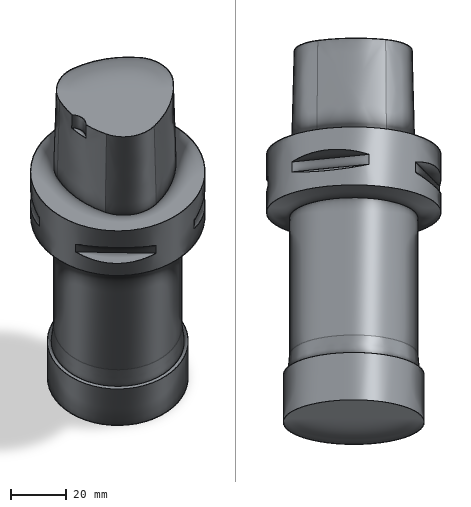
import cadquery as cq
import math

total_height = 139.6
collar_height = 18.0
cone_top = 25.4
neck_top = 77.6
flange_bottom = 79.7
flange_top = 101.8

collar_diameter = 50.8
cone_base_diameter = 48.0
neck_diameter = 46.3
flange_diameter = 63.0

lobe_count = 3
lobe_reach = 23.5
flank_reach = 20.4
lobe_center_distance = 8.8
shank_inset = 0.95

groove_count = 4
groove_first_angle = 45.0
groove_center_height = 89.6
groove_floor_distance = 27.9
groove_floor_height = 3.8
groove_wall_angle = 30.0
cutter_overrun = 1.4

notch_radius = 5.0
notch_depth = 6.4
notch_inner_distance = 17.7


def polar_point(distance, angle):
    """Point at a distance from the axis, at an angle in degrees."""
    radians = math.radians(angle)
    return (distance * math.cos(radians), distance * math.sin(radians))


def shank_outline(height, inset):
    """Closed outline of tangent lobe and flank arcs, shrunk evenly by the inset."""
    lobe_radius = lobe_reach - lobe_center_distance
    half_step = 180.0 / lobe_count
    along = lobe_center_distance * math.cos(math.radians(half_step))
    across = lobe_center_distance * math.sin(math.radians(half_step))

    gap = flank_reach - lobe_radius
    flank_center = (across**2 + along**2 - gap**2) / (2 * (gap - along))
    tangent_turn = math.atan2(across, flank_center + along)
    flank_radius = flank_center + flank_reach - inset
    tangent_x = flank_radius * math.cos(tangent_turn) - flank_center
    tangent_y = flank_radius * math.sin(tangent_turn)
    tangent_distance = math.hypot(tangent_x, tangent_y)
    tangent_angle = math.degrees(math.atan2(tangent_y, tangent_x))

    first_flank = -90.0
    start = polar_point(tangent_distance, first_flank - tangent_angle)
    outline = cq.Workplane("XY", origin=(0, 0, height)).moveTo(*start)
    for index in range(lobe_count):
        flank_angle = first_flank + index * 2 * half_step
        lobe_angle = flank_angle + half_step
        next_flank = lobe_angle + half_step
        outline = outline.threePointArc(
            polar_point(flank_reach - inset, flank_angle),
            polar_point(tangent_distance, flank_angle + tangent_angle),
        )
        outline = outline.threePointArc(
            polar_point(lobe_reach - inset, lobe_angle),
            polar_point(tangent_distance, next_flank - tangent_angle),
        )
    return outline.close().wire().val()


def make_shank():
    base = shank_outline(flange_top, 0)
    top = shank_outline(total_height, shank_inset)
    return cq.Workplane(cq.Solid.makeLoft([base, top], True))


def make_round_stem():
    """Seat cone, neck and flange, turned about the axis."""
    return (
        cq.Workplane("XZ")
        .moveTo(0, collar_height)
        .lineTo(cone_base_diameter / 2, collar_height)
        .lineTo(neck_diameter / 2, cone_top)
        .lineTo(neck_diameter / 2, neck_top)
        .lineTo(flange_diameter / 2, flange_bottom)
        .lineTo(flange_diameter / 2, flange_top)
        .lineTo(0, flange_top)
        .close()
        .revolve(360, (0, 0), (0, 1))
    )


def make_groove_cutter(angle):
    """Flat-floored groove that widens outward and runs straight across the flange."""
    outer_distance = flange_diameter / 2 + cutter_overrun
    floor_half = groove_floor_height / 2
    flare = (outer_distance - groove_floor_distance) * math.tan(math.radians(groove_wall_angle))
    mouth_half = floor_half + flare
    return (
        cq.Workplane("XZ", origin=(0, 0, groove_center_height))
        .moveTo(groove_floor_distance, -floor_half)
        .lineTo(outer_distance, -mouth_half)
        .lineTo(outer_distance, mouth_half)
        .lineTo(groove_floor_distance, floor_half)
        .close()
        .extrude(flange_diameter / 2, both=True)
        .rotate((0, 0, 0), (0, 0, 1), angle)
    )


def make_notch_cutter():
    return (
        cq.Workplane("XY", origin=(0, 0, total_height - notch_depth))
        .center(0, -notch_inner_distance - notch_radius)
        .circle(notch_radius)
        .extrude(notch_depth)
    )


def make_holder():
    body = make_round_stem().union(make_shank())
    for index in range(groove_count):
        angle = groove_first_angle + index * 360.0 / groove_count
        body = body.cut(make_groove_cutter(angle))
    return body.cut(make_notch_cutter())


def make_collar():
    """Plain end collar that the holder's cone stands on."""
    return cq.Workplane("XY").circle(collar_diameter / 2).extrude(collar_height)


holder = make_holder()
collar = make_collar()
result = cq.Compound.makeCompound([holder.solids().val(), collar.val()])